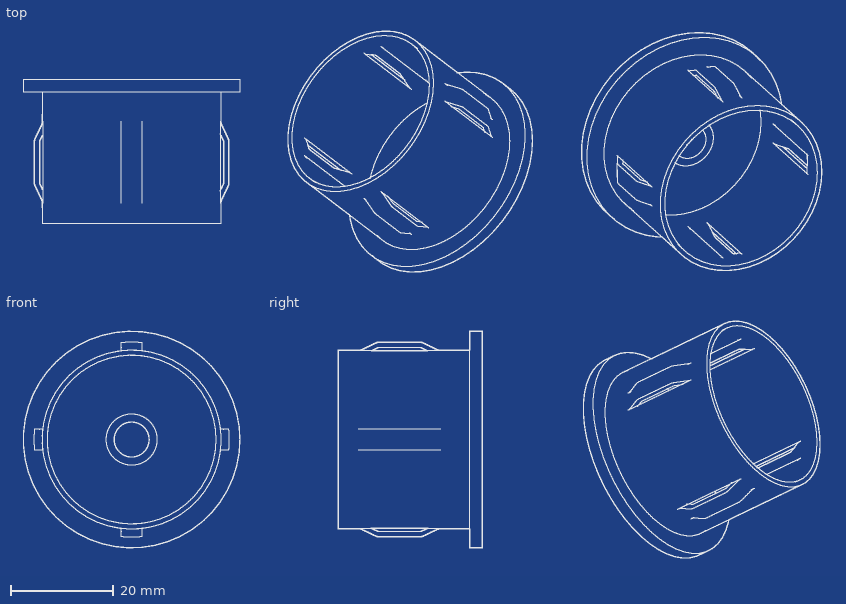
import cadquery as cq
import math

overall_length = 28.2
flange_diameter = 42.4
flange_thickness = 2.5
sleeve_diameter = 35.0
wall = 1.0

hub_diameter = 10.0
hub_height = 2.5
tapping_hole_diameter = 6.8

tab_count = 4
tab_width = 4.1
tab_length = 16.0
tab_end_margin = 4.0
tab_crest_length = 8.0
tab_slope = math.radians(25.5)
tab_bend_radius = 1.5

sleeve_radius = sleeve_diameter / 2
bore_diameter = sleeve_diameter - 2 * wall
tab_middle_y = -overall_length + tab_end_margin + tab_length / 2


def cylinder(diameter, y_start, length):
    """Solid cylinder on the Y axis, running from y_start toward -Y."""
    return cq.Workplane("XZ", origin=(0, y_start, 0)).circle(diameter / 2).extrude(length)


def make_cap():
    """Flanged sleeve with a closed end, a raised hub and a through hole."""
    cap = cylinder(flange_diameter, 0, flange_thickness)
    cap = cap.union(cylinder(sleeve_diameter, 0, overall_length))
    cap = cap.cut(cylinder(bore_diameter, -flange_thickness, overall_length))
    cap = cap.union(cylinder(hub_diameter, 0, flange_thickness + hub_height))
    return cap.cut(cylinder(tapping_hole_diameter, 0, overall_length))


def make_window():
    """Parallel-sided block through the +Z wall, as wide and long as a tab."""
    window_height = sleeve_radius
    center = (0, tab_middle_y, sleeve_radius)
    return cq.Workplane("XY", origin=center).box(tab_width, tab_length, window_height)


def arc_point(center, radius, angle):
    """Point on a bend, with the angle measured from the outward direction."""
    return center[0] + radius * math.sin(angle), center[1] + radius * math.cos(angle)


def make_tab(window):
    """Bent strip over the +Z window, curved around the sleeve axis."""
    half_length = tab_length / 2
    half_crest = tab_crest_length / 2
    slope_run = half_length - half_crest - 2 * tab_bend_radius * math.sin(tab_slope)
    tab_rise = slope_run * math.tan(tab_slope) + 2 * tab_bend_radius * (1 - math.cos(tab_slope))
    crest_center = (half_crest, sleeve_radius + tab_rise - tab_bend_radius)
    foot_center = (half_length, sleeve_radius + tab_bend_radius)

    def face_points(depth):
        """Half of one face, from mid-crest to tab end, at a depth below the outer face."""
        crest_radius = tab_bend_radius - depth
        foot_radius = tab_bend_radius + depth
        crest = [arc_point(crest_center, crest_radius, tab_slope * part) for part in (0, 0.5, 1)]
        foot = [arc_point(foot_center, foot_radius, math.pi + tab_slope * part) for part in (1, 0.5, 0)]
        return crest, foot

    outer_crest, outer_foot = face_points(0)
    inner_crest, inner_foot = face_points(wall)
    half_profile = (
        cq.Workplane("YZ", origin=(0, tab_middle_y, 0))
        .moveTo(0, outer_crest[0][1])
        .lineTo(*outer_crest[0])
        .threePointArc(*outer_crest[1:])
        .lineTo(*outer_foot[0])
        .threePointArc(*outer_foot[1:])
        .lineTo(*inner_foot[2])
        .threePointArc(inner_foot[1], inner_foot[0])
        .lineTo(*inner_crest[2])
        .threePointArc(inner_crest[1], inner_crest[0])
        .lineTo(0, inner_crest[0][1])
        .close()
    )
    half_ring = half_profile.revolve(360, (0, 0), (1, 0))
    half_tab = half_ring.intersect(window)
    return half_tab.union(half_tab.mirror("XZ", (0, tab_middle_y, 0))).clean()


result = make_cap()
window = make_window()
tab = make_tab(window)
for index in range(tab_count):
    angle = index * 360 / tab_count
    result = result.cut(window.rotate((0, 0, 0), (0, 1, 0), angle))
    result = result.union(tab.rotate((0, 0, 0), (0, 1, 0), angle))